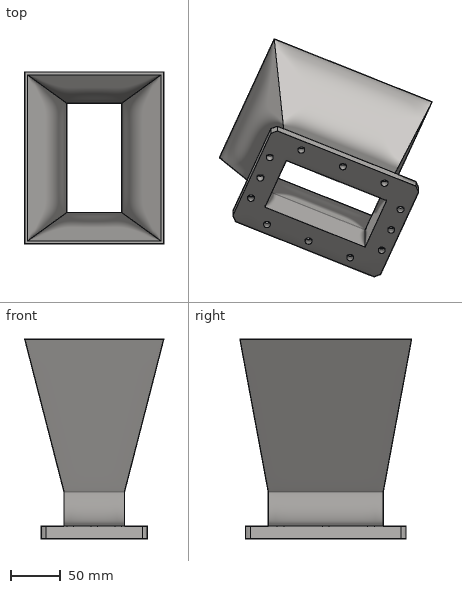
import cadquery as cq

bore_x = 54.61
bore_y = 109.22
wall = 3.0
throat_x = bore_x + 2 * wall
throat_y = bore_y + 2 * wall

mouth_x = 139.44
mouth_y = 172.12

total_height = 200.0
flange_thickness = 12.7
neck_length = 34.0
throat_height = flange_thickness + neck_length

flange_x = 106.43
flange_y = 161.04
corner_chamfer = 5.0

hole_diameter = 6.7
side_row_x = 43.7
side_hole_pitch = 45.3
end_row_y = 71.2
end_hole_pitch = 23.9


def straight_block(size_x, size_y, height):
    """Centred rectangular block standing on the flange underside."""
    return cq.Workplane("XY").rect(size_x, size_y).extrude(height)


def tapered_block(bottom_x, bottom_y, top_x, top_y):
    """Rectangular frustum from the top of the throat to the horn mouth."""
    return (
        cq.Workplane("XY", origin=(0, 0, throat_height))
        .rect(bottom_x, bottom_y)
        .workplane(offset=total_height - throat_height)
        .rect(top_x, top_y)
        .loft(ruled=True, combine=True)
    )


def make_flange():
    """Rectangular plate with its four upright corners chamfered."""
    return straight_block(flange_x, flange_y, flange_thickness).edges("|Z").chamfer(corner_chamfer)


def make_bore():
    """Straight waveguide bore opening into the flared inside of the horn."""
    flare = tapered_block(bore_x, bore_y, mouth_x - 2 * wall, mouth_y - 2 * wall)
    return straight_block(bore_x, bore_y, throat_height).union(flare)


def bolt_positions():
    """Centres of the three bolt holes along each of the four flange edges."""
    positions = []
    for side in (-1, 1):
        for step in (-1, 0, 1):
            positions.append((side * side_row_x, step * side_hole_pitch))
            positions.append((step * end_hole_pitch, side * end_row_y))
    return positions


def make_bolt_holes():
    """Cylinders that cut the bolt holes through the flange."""
    return (
        cq.Workplane("XY")
        .pushPoints(bolt_positions())
        .circle(hole_diameter / 2)
        .extrude(flange_thickness)
    )


throat = straight_block(throat_x, throat_y, throat_height)
horn = tapered_block(throat_x, throat_y, mouth_x, mouth_y)
body = make_flange().union(throat).union(horn)
result = body.cut(make_bore()).cut(make_bolt_holes())